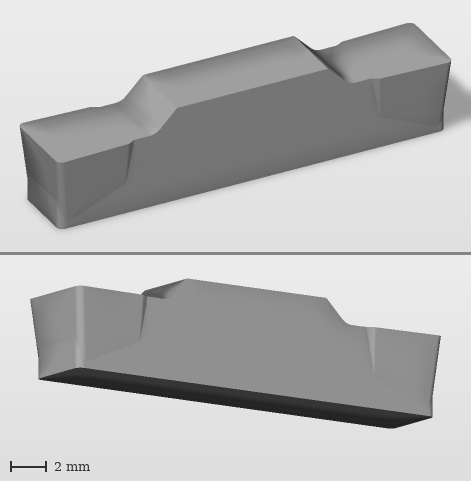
import cadquery as cq

length = 25.07
total_height = 5.97
land_height = 4.61

body_width = 4.19
end_setback = 0.28
corner_radius = 0.38

ridge_rise = total_height - land_height
land_length = 6.4
ridge_foot = length / 2 - land_length
ridge_crest = ridge_foot - ridge_rise
ridge_blend_radius = 0.93

edge_width = 5.06
shoulder_width = 4.7
head_length = 4.56
neck_length = 0.45
shoulder_radius = 0.25
relief_angle = 5.5


def make_body():
    """Straight body with rounded vertical corners, cut to the ridge profile."""
    half_length = length / 2 - end_setback
    profile = (
        cq.Workplane("YZ")
        .moveTo(-half_length, 0)
        .lineTo(half_length, 0)
        .lineTo(half_length, land_height)
        .lineTo(ridge_foot, land_height)
        .lineTo(ridge_crest, total_height)
        .lineTo(-ridge_crest, total_height)
        .lineTo(-ridge_foot, land_height)
        .lineTo(-half_length, land_height)
        .close()
        .extrude(body_width / 2, both=True)
    )
    search = 0.03
    for side in (-1, 1):
        foot = cq.selectors.BoxSelector(
            (-search, side * ridge_foot - search, land_height - search),
            (search, side * ridge_foot + search, land_height + search),
        )
        profile = profile.edges(foot).fillet(ridge_blend_radius)
    return profile.edges("|Z").edges("<Y or >Y").fillet(corner_radius)


def make_head():
    """Head at the -Y end, narrowing downwards and rearwards from its cutting edge."""
    tip = -length / 2
    shoulder = tip + head_length
    neck_step = (shoulder_width - body_width) / 2
    root = shoulder + 2 * neck_length
    root_half = shoulder_width / 2 - 2 * neck_step
    edge_half = edge_width / 2
    shoulder_half = shoulder_width / 2
    head = (
        cq.Workplane("XY", origin=(0, 0, land_height))
        .polyline([
            (-edge_half, tip),
            (edge_half, tip),
            (shoulder_half, shoulder),
            (root_half, root),
            (-root_half, root),
            (-shoulder_half, shoulder),
        ])
        .close()
        .extrude(-land_height, taper=relief_angle)
    )
    steep_edges = head.edges("not #Z")
    tip_corners = steep_edges.sort(lambda edge: edge.Center().y)[:2]
    head = tip_corners.fillet(corner_radius)
    shoulder_edges = head.edges(cq.selectors.BoxSelector(
        (-edge_half, shoulder - neck_length, 0),
        (edge_half, shoulder + neck_length / 2, land_height),
    )).edges("not #Z")
    return shoulder_edges.fillet(shoulder_radius)


front_head = make_head()
back_head = front_head.mirror("XZ")
result = make_body().union(front_head).union(back_head)